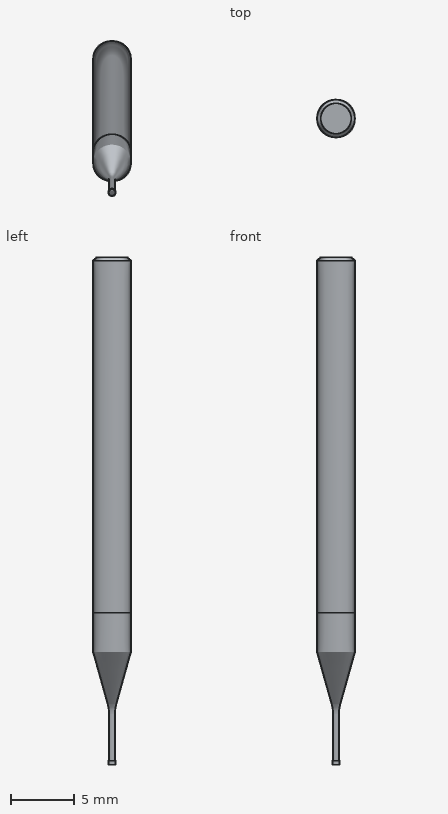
import cadquery as cq
import math

total_length = 40.0
shank_radius = 3.0 / 2
shank_chamfer_height = 0.3
shank_chamfer_width = 0.3

joint_height = 12.0
neck_top_height = 4.0
tip_length = 0.3

neck_radius = 0.5 / 2
flare_radius = 3.0
cone_half_angle = math.radians(15.7)
tip_radius = 0.55 / 2
tip_corner_radius = 0.1


def flare_point(angle):
    """Radius and height on the flare arc after it has turned through an angle from vertical."""
    return (
        neck_radius + flare_radius * (1 - math.cos(angle)),
        neck_top_height + flare_radius * math.sin(angle),
    )


def make_shank():
    """Plain cylindrical shank with a chamfered upper end."""
    return (
        cq.Workplane("XY", origin=(0, 0, joint_height))
        .circle(shank_radius)
        .extrude(total_length - joint_height)
        .faces(">Z")
        .edges()
        .chamfer(shank_chamfer_height, shank_chamfer_width)
    )


def make_neck():
    """Revolved body: slender neck, tangent flare, cone and a short full-diameter collar."""
    flare_end = flare_point(cone_half_angle)
    cone_height = (shank_radius - flare_end[0]) / math.tan(cone_half_angle)
    return (
        cq.Workplane("XZ")
        .moveTo(0, tip_length)
        .lineTo(neck_radius, tip_length)
        .lineTo(neck_radius, neck_top_height)
        .threePointArc(flare_point(cone_half_angle / 2), flare_end)
        .lineTo(shank_radius, flare_end[1] + cone_height)
        .lineTo(shank_radius, joint_height)
        .lineTo(0, joint_height)
        .close()
        .revolve(360, (0, 0, 0), (0, 1, 0))
    )


def make_tip():
    """Cutting tip: a short disc with a rounded lower corner."""
    return (
        cq.Workplane("XY")
        .circle(tip_radius)
        .extrude(tip_length)
        .faces("<Z")
        .edges()
        .fillet(tip_corner_radius)
    )


shank = make_shank()
neck = make_neck()
tip = make_tip()

result = cq.Compound.makeCompound([shank.val(), neck.val(), tip.val()])